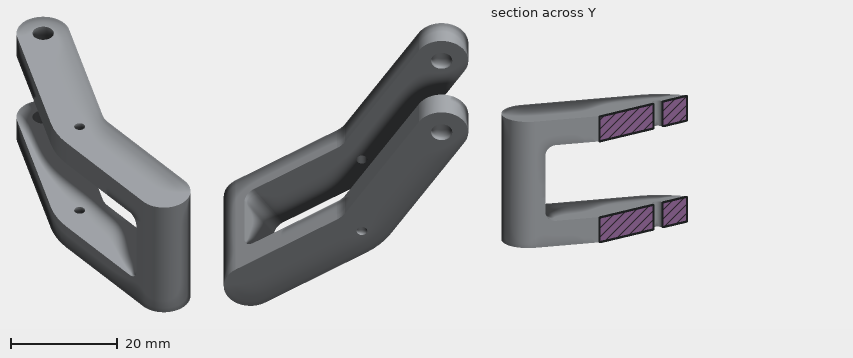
import cadquery as cq
import math

length_x = 53.2
length_y = 40.4
height = 25.0

end_radius = 5.0
inner_bend_radius = end_radius
outer_bend_radius = inner_bend_radius + 2 * end_radius

plate_thickness = 5.0
slot_fillet = 2.0
web_inset = 2.0

pivot_hole_diameter = 4.0
pin_hole_diameter = 2.0

bend_to_tip_x = 19.85
bend_to_tip_y = 21.2
tip = (-bend_to_tip_x, bend_to_tip_y)
heel = (
    tip[0] + length_x - 2 * end_radius,
    tip[1] - length_y + 2 * end_radius,
)

tip_arm_angle = math.atan2(-tip[1], -tip[0])
heel_arm_angle = math.atan2(heel[1], heel[0])
bend_normal_angle = (tip_arm_angle + heel_arm_angle) / 2 + math.pi / 2
bend_half_angle = (heel_arm_angle - tip_arm_angle) / 2
miter_distance = end_radius / math.cos(bend_half_angle)


def polar_point(center, distance, angle):
    """Point at a distance and direction from a center."""
    return (
        center[0] + distance * math.cos(angle),
        center[1] + distance * math.sin(angle),
    )


def bent_bar():
    """Full-height bent bar with round ends and a rounded bend."""
    quarter_turn = math.pi / 2
    inner_corner = polar_point((0, 0), miter_distance, bend_normal_angle)
    outer_corner = polar_point((0, 0), -miter_distance, bend_normal_angle)
    bar = (
        cq.Workplane("XY")
        .moveTo(*inner_corner)
        .lineTo(*polar_point(heel, end_radius, heel_arm_angle + quarter_turn))
        .threePointArc(
            polar_point(heel, end_radius, heel_arm_angle),
            polar_point(heel, end_radius, heel_arm_angle - quarter_turn),
        )
        .lineTo(*outer_corner)
        .lineTo(*polar_point(tip, end_radius, tip_arm_angle - quarter_turn))
        .threePointArc(
            polar_point(tip, -end_radius, tip_arm_angle),
            polar_point(tip, end_radius, tip_arm_angle + quarter_turn),
        )
        .close()
        .extrude(height)
    )
    for corner, radius in (
        (inner_corner, inner_bend_radius),
        (outer_corner, outer_bend_radius),
    ):
        nearest = cq.selectors.NearestToPointSelector((*corner, height / 2))
        bar = bar.edges("|Z").edges(nearest).fillet(radius)
    return bar


def fork_slot():
    """Slot cutter, square to the heel arm, with a filleted floor."""
    cutter_size = 2 * (length_x + length_y)
    floor_distance = math.hypot(*heel) - web_inset
    gap = height - 2 * plate_thickness
    return (
        cq.Workplane("XY")
        .box(cutter_size, cutter_size, gap)
        .edges(">X and |Y")
        .fillet(slot_fillet)
        .translate((floor_distance - cutter_size / 2, 0, height / 2))
        .rotate((0, 0, 0), (0, 0, 1), math.degrees(heel_arm_angle))
    )


def through_hole(center, diameter):
    """Vertical cutter through both plates."""
    return cq.Workplane("XY").center(*center).circle(diameter / 2).extrude(height)


result = (
    bent_bar()
    .cut(fork_slot())
    .cut(through_hole(tip, pivot_hole_diameter))
    .cut(through_hole((0, 0), pin_hole_diameter))
)